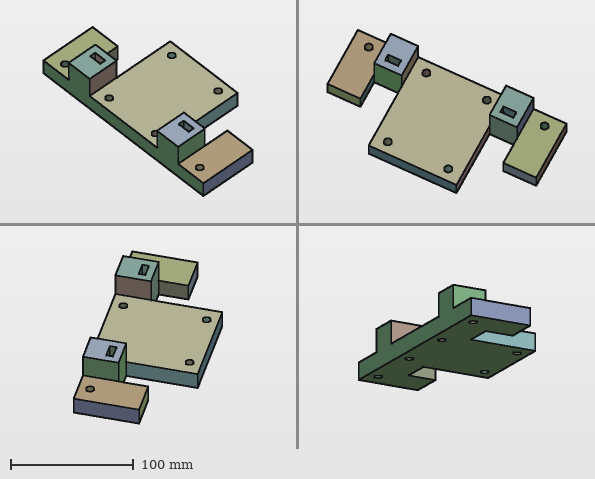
import cadquery as cq
import math

plate_thickness = 15.0
center_width = 80.0
center_length = 90.0

block_width = 25.0
block_length = 30.0
block_height = 35.0

arm_width = 30.0
arm_length = 55.0

hole_diameter = 6.5
hole_spacing_x = 55.0
hole_edge_distance = 10.0

nut_flat_width = 10.2
pocket_length = 5.5
pocket_back_wall = 6.5
nut_axis_z = (plate_thickness + block_height) / 2

nut_corner_width = nut_flat_width / math.cos(math.radians(30))
pocket_center_y = block_length - pocket_back_wall - pocket_length / 2
block_center_x = (center_width + block_width) / 2
arm_center_x = center_width / 2 + block_width + arm_width / 2


def standing_box(center_x, width, length, height):
    """Box on Z = 0 with its front face on Y = 0."""
    base = cq.Workplane("XY").center(center_x, 0)
    return base.box(width, length, height, centered=(True, False, False))


def nut_pocket_cutter(center_x):
    """Lower half of a hexagon with a flat floor, continued straight up through the block top."""
    half_width = nut_corner_width / 2
    half_floor = nut_corner_width / 4
    floor_z = nut_axis_z - nut_flat_width / 2
    return (
        cq.Workplane("XZ", origin=(center_x, pocket_center_y, 0))
        .moveTo(-half_width, block_height)
        .lineTo(half_width, block_height)
        .lineTo(half_width, nut_axis_z)
        .lineTo(half_floor, floor_z)
        .lineTo(-half_floor, floor_z)
        .lineTo(-half_width, nut_axis_z)
        .close()
        .extrude(pocket_length / 2, both=True)
    )


def hole_cutter(points):
    """Through-hole cylinders at the given XY points."""
    return cq.Workplane("XY").pushPoints(points).circle(hole_diameter / 2).extrude(plate_thickness)


body = standing_box(0, center_width, center_length, plate_thickness)
for side in (-1, 1):
    body = body.union(standing_box(side * block_center_x, block_width, block_length, block_height))
    body = body.union(standing_box(side * arm_center_x, arm_width, arm_length, plate_thickness))

hole_points = []
for side in (-1, 1):
    hole_points.append((side * hole_spacing_x / 2, hole_edge_distance))
    hole_points.append((side * hole_spacing_x / 2, center_length - hole_edge_distance))
    hole_points.append((side * arm_center_x, hole_edge_distance))
body = body.cut(hole_cutter(hole_points))

for side in (-1, 1):
    body = body.cut(nut_pocket_cutter(side * block_center_x))

result = body